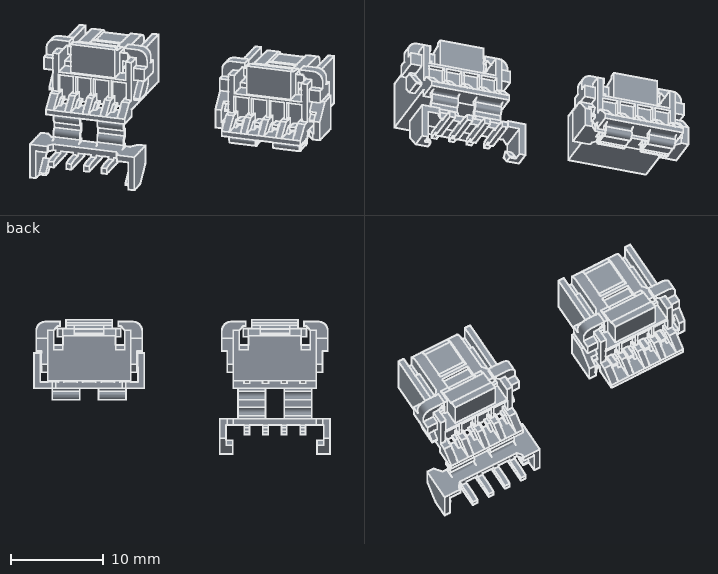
import cadquery as cq

CONNECTOR_SPACING = 20.0

WAYS = 4
PITCH = 2.0
WAY_CENTRES = [(i - (WAYS - 1) / 2) * PITCH for i in range(WAYS)]
DIVIDER_CENTRES = [(i - WAYS / 2) * PITCH for i in range(1, WAYS)]

HOUSING_HALF = 4.482
HOUSING_BACK = 9.0
HOUSING_BOTTOM = 0.8
WALL = 0.67
WALL_TOP = 6.25
WALL_INNER = HOUSING_HALF - WALL
FRONT_DECK = 4.15
MAIN_DECK = 4.7
MAIN_DECK_FRONT = 2.05
MAIN_DECK_BACK = 7.3

FLANGE_FRONT = -2.3
FLANGE_BACK = 0.15
FLOOR_TOP = 0.57
RIB_FRONT = -0.75
RIB_TOP = 1.9
RIB_WIDTH = 0.67
END_RIB_WIDTH = 0.85
CELL_WIDTH = 1.72
CELL_DEPTH = 0.65
CELL_TOP = 3.83
GUSSET_TOP = 1.15

LEVER_HALF = 2.85
LEVER_FRONT = 1.9
LEVER_TOP = 6.48
LEVER_BACK_TOP = 6.32
LEVER_BEND_START = 7.95
LEVER_END_TOP = 5.68
EAR_HALF = 3.4
EAR_BOTTOM = 5.55
EAR_FLARE_FRONT = 3.0
EAR_FLARE_BACK = 3.75
PAD_HALF = 1.6
PAD_TOP = 5.95
PAD_FRONT = 5.52
PAD_BACK = 8.42
PAD_END_TOP = 5.75
BRIDGE_TOP = 6.38
BRIDGE_BACK = 4.95
BRIDGE_FRONT = 4.6
WINDOW_BACK = 4.5
WINDOW_FRONT = 3.55
WINDOW_RAMP = (3.05, 6.5)
THUMB_HALF = 2.505
THUMB_FRONT = 0.3
THUMB_TOP = 7.4
THUMB_STEP = (1.05, 7.08)
THUMB_CREST = (2.78, 6.83)
THUMB_HEEL = (3.35, 6.45)

HOOK_HALF = 5.725
HOOK_FRONT = 1.53
HOOK_BACK = 2.78
HOOK_TOP = 7.2
HOOK_RADIUS = 1.05
HOOK_TIP = 3.13
HOOK_TIP_BOTTOM = 6.7
HOOK_THROAT = 3.4
SHOULDER_FRONT = 0.67
SHOULDER_BACK = 3.65
SHOULDER_BOTTOM = 4.02
SHOULDER_TOP = 5.4
FIN_HALF = 5.15
FIN_BOTTOM = 1.72
FIN_BACK_CHAMFER = 0.85
FIN_NOSE_TOP = 1.9
FIN_ROOT = (2.5, 3.75)

RETAINER_HALF = (31.9 - CONNECTOR_SPACING) / 2
RETAINER_TOP = -3.25
RETAINER_BOTTOM = -7.08
RETAINER_BACK = 0.38
RETAINER_FRONT = -3.35
PLATE = 0.7
PLATE_BOTTOM = RETAINER_TOP - PLATE
PLATE_BACK = -0.45
PLATE_FRONT = -2.5
NOTCH_HALF = 3.95
NOTCH_FLOOR_HALF = 3.57
NOTCH_CHAMFER_FRONT = -2.97
BACK_TAB_INNER = 5.15
WING = 0.7
WING_INNER = RETAINER_HALF - WING
WING_CHAMFER = 1.72
LIP_INNER = 4.53
LIP_LENGTH = 0.95
LIP_INNER_LENGTH = 1.28
LIP_THICKNESS = 0.55
PIN_WIDTH = 0.6
PIN_FRONT = -4.85
PIN_BOTTOM = -4.98
PIN_TOP = -4.18
PIN_TAPER_START = -4.02
PIN_TAPER_DROP = 0.15
PEG_BACK = 0.85
PEG_BOTTOM = -4.6
PEG_CHAMFER = 0.3

HINGE_INNER = 1.0
HINGE_OUTER = 4.0
HINGE_THICKNESS = 0.38
OPEN_HINGE_MIDDLE = RETAINER_TOP / 2
FOLD_MIDDLE = 0.145
FOLD_BOTTOM = -1.25
FOLD_BAR_BOTTOM = -1.15
ROOT_BACK = -0.57
ROOT_FRONT = -1.6
ROOT_FLARE = (-1.3, -0.1)
ROOT_NECK = (-1.15, -0.32)
WEB_ROOT = (-1.195, -0.48)
WEB_OUTSIDE = (-1.26, -0.67)
WEB_INSIDE = (-0.95, -0.75)


def box(x_range, y_range, z_range):
    """Axis-aligned block between the given limits."""
    lengths = [high - low for low, high in (x_range, y_range, z_range)]
    corner = (x_range[0], y_range[0], z_range[0])
    return cq.Workplane("XY").box(*lengths, centered=False).translate(corner)


def side_prism(points, x_low, x_high):
    """Prism along X from a (Y, Z) outline."""
    return cq.Workplane("YZ").workplane(offset=x_low).polyline(points).close().extrude(x_high - x_low)


def around(centre, width):
    return (centre - width / 2, centre + width / 2)


def with_mirror(solid, plane="YZ", base=(0, 0, 0)):
    return solid.union(solid.mirror(plane, base))


def housing_shell():
    """Block with a stepped deck between two tall side walls."""
    full_width = (-HOUSING_HALF, HOUSING_HALF)
    shell = box(full_width, (0, HOUSING_BACK), (HOUSING_BOTTOM, FRONT_DECK))
    shell = shell.union(box(full_width, (MAIN_DECK_FRONT, MAIN_DECK_BACK), (HOUSING_BOTTOM, MAIN_DECK)))
    wall = box((WALL_INNER, HOUSING_HALF), (0, HOUSING_BACK), (HOUSING_BOTTOM, WALL_TOP))
    return shell.union(with_mirror(wall))


def flange():
    """Front floor with sloped ribs between the ways, running back to the ends of the cells."""
    floor = box((-HOUSING_HALF, HOUSING_HALF), (FLANGE_FRONT, FLANGE_BACK), (0, FLOOR_TOP))
    rib_outline = [
        (FLANGE_FRONT, FLOOR_TOP),
        (RIB_FRONT, RIB_TOP),
        (CELL_DEPTH, RIB_TOP),
        (CELL_DEPTH, HOUSING_BOTTOM),
        (FLANGE_BACK, HOUSING_BOTTOM),
        (FLANGE_BACK, 0),
        (FLANGE_FRONT, 0),
    ]
    end_rib = side_prism(rib_outline, HOUSING_HALF - END_RIB_WIDTH, HOUSING_HALF)
    ribbed = floor.union(with_mirror(end_rib))
    for x in DIVIDER_CENTRES:
        ribbed = ribbed.union(side_prism(rib_outline, *around(x, RIB_WIDTH)))
    return ribbed


def cell_recess(x):
    """Recess in the front wall, open down to the flange floor."""
    return box(around(x, CELL_WIDTH), (0, CELL_DEPTH), (FLOOR_TOP, CELL_TOP))


def gussets(x):
    """Pair of low ramps that leave a pin-wide slot along the floor of a way."""
    outline = [
        (RIB_FRONT, FLOOR_TOP),
        (0, GUSSET_TOP),
        (CELL_DEPTH, GUSSET_TOP),
        (CELL_DEPTH, HOUSING_BOTTOM),
        (FLANGE_BACK, HOUSING_BOTTOM),
        (FLANGE_BACK, FLOOR_TOP),
    ]
    left = side_prism(outline, x - CELL_WIDTH / 2, x - PIN_WIDTH / 2)
    return with_mirror(left, "YZ", (x, 0, 0))


def latch_lever():
    """Long lever with eared sides, a sunken pad, a catch window and a thumb block."""
    side_profile = (
        cq.Workplane("YZ")
        .workplane(offset=-EAR_HALF)
        .moveTo(LEVER_FRONT, FRONT_DECK)
        .lineTo(LEVER_FRONT, LEVER_TOP)
        .lineTo(LEVER_BEND_START, LEVER_BACK_TOP)
        .tangentArcPoint((HOUSING_BACK, LEVER_END_TOP), relative=False)
        .lineTo(HOUSING_BACK, FRONT_DECK)
        .close()
        .extrude(2 * EAR_HALF)
    )
    stem = box((-LEVER_HALF, LEVER_HALF), (LEVER_FRONT, HOUSING_BACK), (FRONT_DECK, LEVER_TOP))
    ears = (
        cq.Workplane("XY")
        .workplane(offset=EAR_BOTTOM)
        .polyline([
            (-EAR_HALF, LEVER_FRONT),
            (EAR_HALF, LEVER_FRONT),
            (EAR_HALF, EAR_FLARE_FRONT),
            (LEVER_HALF, EAR_FLARE_BACK),
            (-LEVER_HALF, EAR_FLARE_BACK),
            (-EAR_HALF, EAR_FLARE_FRONT),
        ])
        .close()
        .extrude(LEVER_TOP - EAR_BOTTOM)
    )
    return stem.union(ears).intersect(side_profile)


def lever_pad_cut():
    """Sunken pad behind the bridge, ramped at both ends."""
    clear = LEVER_TOP + 0.32
    outline = [
        (BRIDGE_BACK, clear),
        (BRIDGE_BACK, BRIDGE_TOP),
        (PAD_FRONT, PAD_TOP),
        (PAD_BACK, PAD_TOP),
        (HOUSING_BACK, PAD_END_TOP),
        (HOUSING_BACK, clear),
    ]
    return side_prism(outline, -PAD_HALF, PAD_HALF)


def catch_window_cut():
    """Pocket between the bridge and the thumb block, rising toward the block."""
    crest_height = THUMB_CREST[1]
    outline = [
        (BRIDGE_FRONT, crest_height),
        (BRIDGE_FRONT, BRIDGE_TOP),
        (WINDOW_BACK, PAD_TOP),
        (WINDOW_FRONT, PAD_TOP),
        WINDOW_RAMP,
        THUMB_CREST,
    ]
    return side_prism(outline, -PAD_HALF, PAD_HALF)


def thumb_block():
    """Finger block at the lever's front, with a raised front edge."""
    outline = [
        (THUMB_FRONT, FRONT_DECK),
        (THUMB_FRONT, THUMB_TOP),
        (THUMB_STEP[0], THUMB_TOP),
        THUMB_STEP,
        THUMB_CREST,
        THUMB_HEEL,
        (THUMB_HEEL[0], FRONT_DECK),
    ]
    return side_prism(outline, -THUMB_HALF, THUMB_HALF)


def guard_hook():
    """Rounded hook that rises outside the wall and curls over it toward the lever."""
    return (
        cq.Workplane("XZ", origin=(0, HOOK_BACK, 0))
        .moveTo(HOUSING_HALF, SHOULDER_BOTTOM)
        .lineTo(HOOK_HALF, SHOULDER_BOTTOM)
        .lineTo(HOOK_HALF, HOOK_TOP - HOOK_RADIUS)
        .tangentArcPoint((HOOK_HALF - HOOK_RADIUS, HOOK_TOP), relative=False)
        .lineTo(HOOK_TIP, HOOK_TOP)
        .lineTo(HOOK_TIP, HOOK_TIP_BOTTOM)
        .lineTo(HOOK_THROAT, HOOK_TIP_BOTTOM)
        .lineTo(WALL_INNER, WALL_TOP)
        .lineTo(HOUSING_HALF, WALL_TOP)
        .close()
        .extrude(HOOK_BACK - HOOK_FRONT)
    )


def shoulder():
    """Block on the wall that carries the hook."""
    return box((HOUSING_HALF, HOOK_HALF), (SHOULDER_FRONT, SHOULDER_BACK), (SHOULDER_BOTTOM, SHOULDER_TOP))


def locking_fin():
    """Slanted fin below the shoulder that the retainer's lip snaps over."""
    outline = [
        (SHOULDER_BACK, SHOULDER_BOTTOM),
        (SHOULDER_BACK, FIN_BOTTOM + FIN_BACK_CHAMFER),
        (SHOULDER_BACK - FIN_BACK_CHAMFER, FIN_BOTTOM),
        (SHOULDER_FRONT, FIN_BOTTOM),
        (SHOULDER_FRONT, FIN_NOSE_TOP),
        FIN_ROOT,
        (FIN_ROOT[0], SHOULDER_BOTTOM),
    ]
    return side_prism(outline, HOUSING_HALF, FIN_HALF)


def make_housing():
    housing = housing_shell()
    for x in WAY_CENTRES:
        housing = housing.cut(cell_recess(x))
    housing = housing.union(flange())
    for x in WAY_CENTRES:
        housing = housing.union(gussets(x))
    housing = housing.union(latch_lever()).cut(lever_pad_cut())
    housing = housing.union(thumb_block()).cut(catch_window_cut())
    for side_feature in (guard_hook(), shoulder(), locking_fin()):
        housing = housing.union(with_mirror(side_feature))
    return housing


def retainer_plate():
    """Plate between the wings, notched along its front and back edges."""
    half = (
        cq.Workplane("XY")
        .workplane(offset=PLATE_BOTTOM)
        .polyline([
            (0, PLATE_FRONT),
            (NOTCH_FLOOR_HALF, PLATE_FRONT),
            (NOTCH_HALF, NOTCH_CHAMFER_FRONT),
            (NOTCH_HALF, RETAINER_FRONT),
            (RETAINER_HALF, RETAINER_FRONT),
            (RETAINER_HALF, RETAINER_BACK),
            (BACK_TAB_INNER, RETAINER_BACK),
            (HOUSING_HALF, PLATE_BACK),
            (0, PLATE_BACK),
        ])
        .close()
        .extrude(PLATE)
    )
    return with_mirror(half)


def wing():
    """Side plate with its lower back corner cut off."""
    outline = [
        (RETAINER_FRONT, RETAINER_TOP),
        (RETAINER_BACK, RETAINER_TOP),
        (RETAINER_BACK, RETAINER_BOTTOM + WING_CHAMFER),
        (RETAINER_BACK - WING_CHAMFER, RETAINER_BOTTOM),
        (RETAINER_FRONT, RETAINER_BOTTOM),
    ]
    return side_prism(outline, WING_INNER, RETAINER_HALF)


def wing_lip():
    """Inward lip along the wing's chamfer, with a square upper end."""
    chamfer_foot = RETAINER_BACK - WING_CHAMFER
    upper_y = chamfer_foot + LIP_LENGTH
    upper_z = RETAINER_BOTTOM + LIP_LENGTH
    inner_foot = upper_y - LIP_THICKNESS - LIP_INNER_LENGTH
    outline = [
        (chamfer_foot, RETAINER_BOTTOM),
        (upper_y, upper_z),
        (upper_y - LIP_THICKNESS, upper_z + LIP_THICKNESS),
        (inner_foot, upper_z + LIP_THICKNESS - LIP_INNER_LENGTH),
        (inner_foot, RETAINER_BOTTOM),
    ]
    return side_prism(outline, LIP_INNER, WING_INNER)


def retaining_pin(x):
    """Bar under the plate with a tapered pin in front and a short peg behind."""
    outline = [
        (PIN_FRONT, PIN_BOTTOM),
        (PIN_FRONT, PIN_TOP - PIN_TAPER_DROP),
        (PIN_TAPER_START, PIN_TOP),
        (PLATE_FRONT, PIN_TOP),
        (PLATE_FRONT, PLATE_BOTTOM),
        (PEG_BACK - PEG_CHAMFER, PLATE_BOTTOM),
        (PEG_BACK, PLATE_BOTTOM - PEG_CHAMFER),
        (PEG_BACK, PEG_BOTTOM),
        (PLATE_BACK, PEG_BOTTOM),
        (PLATE_BACK, PIN_BOTTOM),
    ]
    return side_prism(outline, *around(x, PIN_WIDTH))


def make_retainer():
    retainer = retainer_plate().union(with_mirror(wing())).union(with_mirror(wing_lip()))
    for x in WAY_CENTRES:
        retainer = retainer.union(retaining_pin(x))
    return retainer


def hinge_pair(half_profile, mirror_plane, mirror_point):
    """Complete a half strip about its middle plane, then copy it to the other side."""
    half_strip = half_profile.close().extrude(HINGE_OUTER - HINGE_INNER)
    return with_mirror(with_mirror(half_strip, mirror_plane, mirror_point))


def flared_root(profile):
    """Continue a (Y, Z) profile from the web's outer face up to the flange underside."""
    return (
        profile
        .threePointArc(WEB_OUTSIDE, WEB_ROOT)
        .lineTo(*ROOT_NECK)
        .threePointArc(ROOT_FLARE, (ROOT_FRONT, 0))
    )


def open_hinges():
    """Strips hanging straight down, each thinned by a round groove near both ends."""
    outer_face = ROOT_BACK - HINGE_THICKNESS
    half = (
        cq.Workplane("YZ")
        .workplane(offset=HINGE_INNER)
        .moveTo(ROOT_BACK, 0)
        .lineTo(ROOT_BACK, -0.3)
        .threePointArc(WEB_INSIDE, (ROOT_BACK, -1.2))
        .lineTo(ROOT_BACK, OPEN_HINGE_MIDDLE)
        .lineTo(outer_face, OPEN_HINGE_MIDDLE)
        .lineTo(outer_face, -1.35)
        .lineTo(-1.1, -1.15)
    )
    return hinge_pair(flared_root(half), "XY", (0, 0, OPEN_HINGE_MIDDLE))


def folded_hinges():
    """The same strips bent into a U under the flange and the shut retainer."""
    half = (
        cq.Workplane("YZ")
        .workplane(offset=HINGE_INNER)
        .moveTo(ROOT_BACK, 0)
        .lineTo(ROOT_BACK, -0.45)
        .threePointArc(WEB_INSIDE, (-0.73, -1.05))
        .lineTo(-0.4, FOLD_BAR_BOTTOM + HINGE_THICKNESS)
        .lineTo(FOLD_MIDDLE, FOLD_BAR_BOTTOM + HINGE_THICKNESS)
        .lineTo(FOLD_MIDDLE, FOLD_BAR_BOTTOM)
        .lineTo(-0.48, FOLD_BAR_BOTTOM)
        .lineTo(-0.7, FOLD_BOTTOM)
        .threePointArc((-1.1, -1.12), (-1.25, -0.8))
    )
    return hinge_pair(flared_root(half), "XZ", (0, FOLD_MIDDLE, 0))


def make_open_connector():
    return make_housing().union(make_retainer()).union(open_hinges())


def make_shut_connector():
    """Connector with the retainer turned half a turn about X, onto the housing's underside."""
    fold_axis = (0, FOLD_MIDDLE, RETAINER_TOP / 2)
    fold_axis_end = (1, FOLD_MIDDLE, RETAINER_TOP / 2)
    shut_retainer = make_retainer().rotate(fold_axis, fold_axis_end, 180)
    return make_housing().union(shut_retainer).union(folded_hinges())


open_connector = make_open_connector()
shut_connector = make_shut_connector().translate((CONNECTOR_SPACING, 0, 0))

result = cq.Compound.makeCompound([open_connector.val(), shut_connector.val()])